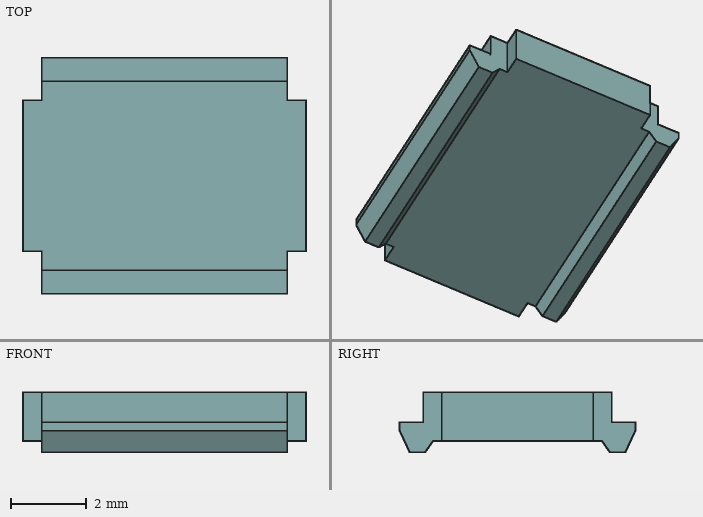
import cadquery as cq

TOTAL_HEIGHT = 1.6
PLATE_THICKNESS = 1.3
PLATE_LENGTH = 7.5
BODY_LENGTH = 6.5
BODY_WIDTH = 5.0
TAB_WIDTH = 4.0

RAIL_SPAN = 6.25
LEDGE_DEPTH = 0.8
LIP_HEIGHT = 0.22
FOOT_SPAN = 5.71
FOOT_WIDTH = 0.41
FOOT_FLARE = 0.21

plate_bottom = TOTAL_HEIGHT - PLATE_THICKNESS
ledge_height = TOTAL_HEIGHT - LEDGE_DEPTH


def make_tab_plate():
    """Plate that reaches out to both end tabs."""
    return (
        cq.Workplane("XY", origin=(0, 0, plate_bottom))
        .rect(PLATE_LENGTH, TAB_WIDTH)
        .extrude(PLATE_THICKNESS)
    )


def make_railed_body():
    """Body with both hook rails, one profile in YZ extruded along X."""
    body_side = BODY_WIDTH / 2
    rail_side = RAIL_SPAN / 2
    foot_outer = FOOT_SPAN / 2
    foot_inner = foot_outer - FOOT_WIDTH
    half_profile = [
        (0, TOTAL_HEIGHT),
        (body_side, TOTAL_HEIGHT),
        (body_side, ledge_height),
        (rail_side, ledge_height),
        (rail_side, ledge_height - LIP_HEIGHT),
        (foot_outer, 0),
        (foot_inner, 0),
        (foot_inner - FOOT_FLARE, plate_bottom),
        (0, plate_bottom),
    ]
    half = cq.Workplane("YZ").polyline(half_profile).close().extrude(BODY_LENGTH / 2, both=True)
    return half.union(half.mirror("XZ"))


result = make_tab_plate().union(make_railed_body()).clean()